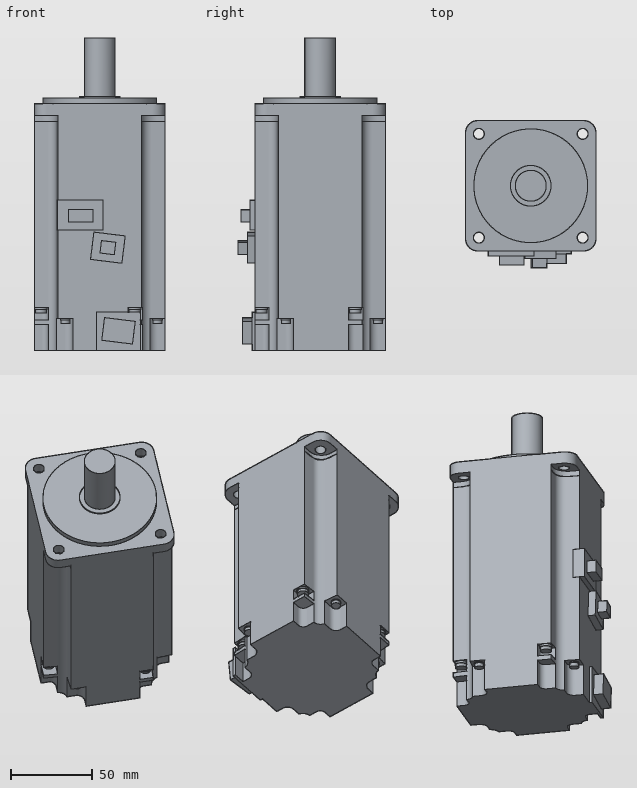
import cadquery as cq

body_width = 80.4
half_width = body_width / 2
flange_top = 152.0
flange_bottom = 144.5
flange_corner_radius = 7.7
mount_hole_diameter = 6.5
mount_hole_offset = 32.0

pilot_diameter = 70.0
pilot_top = 155.4
boss_diameter = 25.0
boss_top = 156.1
shaft_diameter = 19.0
shaft_top = 192.3

channel_edge = 25.8
channel_root = 26.7
channel_top = 141.0
channel_fillet = 5.8
relief_fillet = 9.5

short_notch_end = 16.3
short_notch_radius = 4.8
short_notch_floor = 30.8
short_notch_top = 19.6
tall_notch_end = 17.3
tall_notch_radius = 3.8
tall_notch_floor = 31.5
tall_notch_top = 26.5
tab_bottom = 16.0
tab_top = 18.8

short_collar_diameter = 6.0
short_head_diameter = 5.5
short_collar_bottom = 18.8
short_head_bottom = 16.5
short_screw_center = (-(short_notch_end + short_notch_radius), -(short_notch_floor + short_notch_radius))
tall_collar_diameter = 7.7
tall_head_diameter = 7.0
tall_collar_bottom = 25.2
tall_head_bottom = 23.0
tall_screw_center = (-36.2, -21.5)

connector_tilt = 7.0
power_plate_x = (-26.2, 2.1)
power_plate_z = (74.0, 92.5)
power_plate_root = 36.0
power_plate_front = 43.3
power_plug_center = (-11.7, 82.9)
power_plug_size = (15.2, 7.7)
power_plug_front = 48.8
signal_center = (5.0, 63.3)
signal_plate_size = (19.5, 17.0)
signal_plate_front = 44.8
signal_plug_size = (8.8, 7.7)
signal_plug_front = 50.5
rear_plate_x = (-2.1, 25.0)
rear_plate_top = 23.7
rear_plate_front = 42.0
rear_plug_center = (11.5, 12.1)
rear_plug_size = (19.0, 14.0)
rear_plug_front = 47.9


def box_between(x_range, y_range, z_range):
    """Box spanning the given ranges along X, Y and Z."""
    sizes = [high - low for low, high in (x_range, y_range, z_range)]
    corner = (x_range[0], y_range[0], z_range[0])
    return cq.Workplane("XY").box(*sizes, centered=False).translate(corner)


def cylinder(diameter, bottom, top, center=(0, 0)):
    """Vertical cylinder between two heights."""
    return cq.Workplane("XY", origin=(*center, bottom)).circle(diameter / 2).extrude(top - bottom)


def on_each_corner(shape):
    """The shape repeated at quarter turns about the shaft axis."""
    repeated = shape
    for quarter in range(1, 4):
        repeated = repeated.union(shape.rotate((0, 0, 0), (0, 0, 1), 90 * quarter))
    return repeated


def corner_cut(edge, root, fillet, bottom, top):
    """Cutter for the (-X, -Y) corner: walls run from edge at the faces to root, with a rounded inside."""
    return (
        cq.Workplane("XY", origin=(0, 0, bottom))
        .polyline([
            (-half_width, -half_width),
            (-edge, -half_width),
            (-root, -root),
            (-half_width, -edge),
        ])
        .close()
        .extrude(top - bottom)
        .edges("|Z")
        .edges(cq.selectors.NearestToPointSelector((-root, -root, (bottom + top) / 2)))
        .fillet(fillet)
    )


def notch_cut(end, radius, floor, bottom, top):
    """Cutter for a notch in the -Y face, open to the channel at its left and rounded at its right."""
    return (
        cq.Workplane("XY", origin=(0, 0, bottom))
        .moveTo(-channel_root, -half_width)
        .lineTo(-end, -half_width)
        .lineTo(-end, -floor - radius)
        .radiusArc((-end - radius, -floor), -radius)
        .lineTo(-channel_root, -floor)
        .close()
        .extrude(top - bottom)
    )


def tall_notch_cut(bottom, top):
    """Part of the tall notch between two heights, in the -X face."""
    notch = notch_cut(tall_notch_end, tall_notch_radius, tall_notch_floor, bottom, top)
    return across_diagonal(notch)


def across_diagonal(shape):
    """Swap X and Y: moves a feature of the -Y face to the -X face at the same corner."""
    return shape.mirror("YZ").rotate((0, 0, 0), (0, 0, 1), -90)


def connector_block(center, size, back, front, tilt=0):
    """Block on the -Y face with an X-Z center and size, turned clockwise by tilt."""
    return (
        cq.Workplane("XZ", origin=(center[0], -back, center[1]))
        .transformed(rotate=(0, 0, -tilt))
        .rect(*size)
        .extrude(front - back)
    )


housing = (
    cq.Workplane("XY")
    .rect(body_width, body_width)
    .extrude(flange_top)
    .edges("|Z")
    .fillet(flange_corner_radius)
)

channel = corner_cut(channel_edge, channel_root, channel_fillet, 0, channel_top)
relief = corner_cut(channel_edge, channel_edge, relief_fillet, channel_top, flange_bottom)
housing = housing.cut(on_each_corner(channel.union(relief)))

short_notch = notch_cut(short_notch_end, short_notch_radius, short_notch_floor, 0, short_notch_top)
tall_notch = tall_notch_cut(0, tab_bottom).union(tall_notch_cut(tab_top, tall_notch_top))
housing = housing.cut(on_each_corner(short_notch)).cut(on_each_corner(tall_notch))

short_collar = cylinder(
    short_collar_diameter, short_collar_bottom, short_notch_top, short_screw_center
)
short_head = cylinder(
    short_head_diameter, short_head_bottom, short_collar_bottom, short_screw_center
)
tall_collar = cylinder(tall_collar_diameter, tall_collar_bottom, tall_notch_top, tall_screw_center)
tall_head = cylinder(tall_head_diameter, tall_head_bottom, tall_collar_bottom, tall_screw_center)
for screw in (short_collar.union(short_head), tall_collar.union(tall_head)):
    housing = housing.union(on_each_corner(screw))

mount_hole = cylinder(
    mount_hole_diameter, flange_bottom, flange_top, (-mount_hole_offset, -mount_hole_offset)
)
housing = housing.cut(on_each_corner(mount_hole))

front_end = (
    cylinder(pilot_diameter, flange_top, pilot_top)
    .union(cylinder(boss_diameter, pilot_top, boss_top))
    .union(cylinder(shaft_diameter, boss_top, shaft_top))
)

power_plate = box_between(power_plate_x, (-power_plate_front, -power_plate_root), power_plate_z)
power_plug = connector_block(power_plug_center, power_plug_size, power_plate_front, power_plug_front)
signal_plate = connector_block(
    signal_center, signal_plate_size, half_width, signal_plate_front, connector_tilt
)
signal_plug = connector_block(
    signal_center, signal_plug_size, signal_plate_front, signal_plug_front, connector_tilt
)
rear_plate = box_between(rear_plate_x, (-rear_plate_front, -half_width), (0, rear_plate_top))
rear_plug = connector_block(
    rear_plug_center, rear_plug_size, rear_plate_front, rear_plug_front, connector_tilt
)

result = housing.union(front_end)
for block in (power_plate, power_plug, signal_plate, signal_plug, rear_plate, rear_plug):
    result = result.union(block)